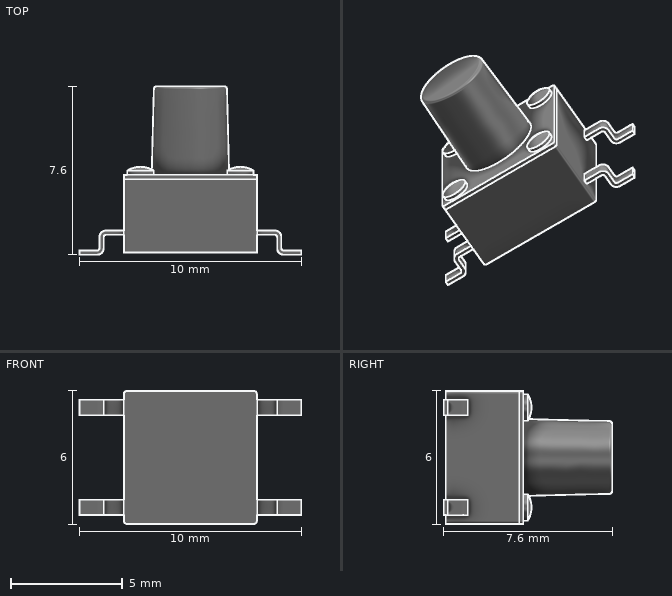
import cadquery as cq
import math


body_size = 6.0
corner_radius = 0.15
standoff = 0.1
cover_thickness = 0.2
cover_top = 3.6
cover_bottom = cover_top - cover_thickness

rivet_radius = 0.6
rivet_offset = body_size / 2 - corner_radius - rivet_radius
rivet_rim_height = 0.19
rivet_dome_height = 0.18

button_top = 7.6
button_tip_radius = 1.65
button_root_radius = 1.75
button_edge_radius = 0.15

lead_span = 10.0
lead_thickness = 0.2
lead_width = 0.7
lead_z_offset = 2.25
lead_shoulder_top = 1.1
lead_riser_outer_x = 4.1
lead_riser_inner_x = lead_riser_outer_x - lead_thickness
bend_inner_radius = 0.1
bend_outer_radius = bend_inner_radius + lead_thickness


def square_block(y_bottom, y_top):
    """Square block with rounded corners, standing along +Y."""
    height = y_top - y_bottom
    return (
        cq.Workplane("XY")
        .box(body_size, height, body_size)
        .edges("|Y")
        .fillet(corner_radius)
        .translate((0, y_bottom + height / 2, 0))
    )


def make_rivet_head(x, z):
    """Domed rivet head that starts inside the cover so that it fuses with it."""
    rim_y = cover_top + rivet_rim_height
    dome_top = rim_y + rivet_dome_height
    dome_radius = (rivet_radius**2 + rivet_dome_height**2) / (2 * rivet_dome_height)
    half_angle = math.asin(rivet_radius / dome_radius) / 2
    dome_midpoint = (
        dome_radius * math.sin(half_angle),
        dome_top - dome_radius * (1 - math.cos(half_angle)),
    )
    return (
        cq.Workplane("XY")
        .moveTo(0, cover_bottom)
        .lineTo(rivet_radius, cover_bottom)
        .lineTo(rivet_radius, rim_y)
        .threePointArc(dome_midpoint, (0, dome_top))
        .close()
        .revolve(360, (0, 0, 0), (0, 1, 0))
        .translate((x, 0, z))
    )


def make_cover():
    """Cover plate with a rivet head near each corner."""
    plate = square_block(cover_bottom, cover_top)
    for x in (-rivet_offset, rivet_offset):
        for z in (-rivet_offset, rivet_offset):
            plate = plate.union(make_rivet_head(x, z))
    return plate


def make_button():
    """Tapered round button with a rounded tip, standing on the cover."""
    return (
        cq.Workplane("XY")
        .moveTo(0, cover_top)
        .lineTo(button_root_radius, cover_top)
        .lineTo(button_tip_radius, button_top)
        .lineTo(0, button_top)
        .close()
        .revolve(360, (0, 0, 0), (0, 1, 0))
        .faces(">Y")
        .edges()
        .fillet(button_edge_radius)
    )


def make_lead(side, z):
    """Gull-wing lead from the housing wall; side is +1 for +X and -1 for -X."""
    shoulder_bottom = lead_shoulder_top - lead_thickness
    wall_x = body_size / 2
    foot_end_x = lead_span / 2
    strip = (
        cq.Workplane("XY")
        .moveTo(side * wall_x, shoulder_bottom)
        .lineTo(side * lead_riser_inner_x, shoulder_bottom)
        .lineTo(side * lead_riser_inner_x, 0)
        .lineTo(side * foot_end_x, 0)
        .lineTo(side * foot_end_x, lead_thickness)
        .lineTo(side * lead_riser_outer_x, lead_thickness)
        .lineTo(side * lead_riser_outer_x, lead_shoulder_top)
        .lineTo(side * wall_x, lead_shoulder_top)
        .close()
        .extrude(lead_width / 2, both=True)
    )
    inner_bends = [
        (side * lead_riser_inner_x, shoulder_bottom, 0),
        (side * lead_riser_outer_x, lead_thickness, 0),
    ]
    outer_bends = [
        (side * lead_riser_inner_x, 0, 0),
        (side * lead_riser_outer_x, lead_shoulder_top, 0),
    ]
    for bends, radius in ((inner_bends, bend_inner_radius), (outer_bends, bend_outer_radius)):
        for bend in bends:
            strip = strip.edges(cq.selectors.NearestToPointSelector(bend)).fillet(radius)
    return strip.translate((0, 0, z))


housing = square_block(standoff, cover_bottom)
cover = make_cover()
button = make_button()
leads = [make_lead(side, z) for side in (-1, 1) for z in (-lead_z_offset, lead_z_offset)]

result = cq.Compound.makeCompound(
    [housing.val(), cover.val(), button.val(), *[lead.val() for lead in leads]]
)